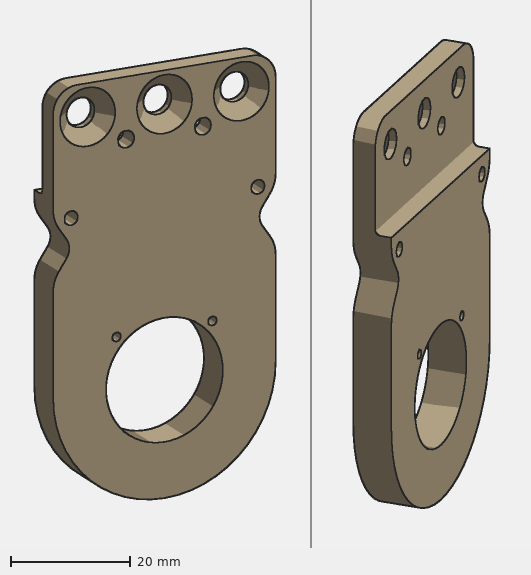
import cadquery as cq
import math

height = 75.9
width = 42.0
thickness = 7.0
half_width = width / 2

flange_thickness = 4.0
flange_height = 20.0
flange_corner_radius = 4.5
step_fillet = 1.0
step_depth = thickness - flange_thickness
step_z = height - flange_height

bore_diameter = 22.0
bore_z = half_width

notch_z = 47.1
notch_half_height = 7.2
notch_depth = 3.0
notch_root_radius = 3.0
notch_shoulder_radius = 6.0

large_hole_diameter = 5.2
large_hole_spacing = 14.5
large_hole_z = height - 6.0
large_hole_positions = (-large_hole_spacing, 0, large_hole_spacing)
countersink_diameter = 10.4
countersink_angle = 90
small_hole_diameter = 3.0
small_hole_spacing = large_hole_spacing
small_hole_z = height - 11.1

side_hole_diameter = 2.5
side_hole_spacing = 35.2
side_hole_z = height - 23.45
pin_hole_diameter = 1.6
pin_hole_offset = 9.0
pin_hole_z = bore_z + pin_hole_offset


def plate_blank():
    """Full-thickness plate with a semicircular bottom and rounded top corners."""
    blank = (
        cq.Workplane("YZ")
        .moveTo(-half_width, bore_z)
        .threePointArc((0, 0), (half_width, bore_z))
        .lineTo(half_width, height)
        .lineTo(-half_width, height)
        .close()
        .extrude(thickness)
    )
    return blank.edges("|X and >Z").fillet(flange_corner_radius)


def notch_cutter():
    """Notch on the +Y side, bounded by tangent arcs and lines."""
    shoulder_y = half_width - notch_shoulder_radius
    root_y = half_width - notch_depth + notch_root_radius

    centre_distance = math.hypot(root_y - shoulder_y, notch_half_height)
    centre_angle = math.atan2(notch_half_height, root_y - shoulder_y)
    radius_sum = notch_shoulder_radius + notch_root_radius
    turn = centre_angle - math.acos(radius_sum / centre_distance)

    def shoulder_point(angle, side):
        y = shoulder_y + notch_shoulder_radius * math.cos(angle)
        z = notch_half_height - notch_shoulder_radius * math.sin(angle)
        return (y, notch_z + side * z)

    def root_point(side):
        y = root_y - notch_root_radius * math.cos(turn)
        return (y, notch_z + side * notch_root_radius * math.sin(turn))

    return (
        cq.Workplane("YZ")
        .moveTo(*shoulder_point(0, 1))
        .threePointArc(shoulder_point(turn / 2, 1), shoulder_point(turn, 1))
        .lineTo(*root_point(1))
        .threePointArc((half_width - notch_depth, notch_z), root_point(-1))
        .lineTo(*shoulder_point(turn, -1))
        .threePointArc(shoulder_point(turn / 2, -1), shoulder_point(0, -1))
        .close()
        .extrude(thickness)
    )


def step_cutter():
    """Block removed from the -X face above the step, with its inner corner rounded."""
    block = cq.Workplane("XY").box(step_depth, width, flange_height, centered=(False, True, False))
    return block.edges(">X and <Z").fillet(step_fillet).translate((0, 0, step_z))


def hole_row(diameter, z, y_positions):
    """Through holes along X at one height."""
    centres = [(y, z) for y in y_positions]
    return cq.Workplane("YZ").pushPoints(centres).circle(diameter / 2).extrude(thickness)


def mirrored(offset):
    return (-offset, offset)


notch = notch_cutter()
result = plate_blank().cut(notch).cut(notch.mirror("XZ")).cut(step_cutter())

hole_rows = [
    (bore_diameter, bore_z, (0,)),
    (large_hole_diameter, large_hole_z, large_hole_positions),
    (small_hole_diameter, small_hole_z, mirrored(small_hole_spacing / 2)),
    (side_hole_diameter, side_hole_z, mirrored(side_hole_spacing / 2)),
    (pin_hole_diameter, pin_hole_z, mirrored(pin_hole_offset)),
]
for diameter, z, y_positions in hole_rows:
    result = result.cut(hole_row(diameter, z, y_positions))

countersink_centres = [(y, large_hole_z) for y in large_hole_positions]
countersink_widening = (countersink_diameter - large_hole_diameter) / 2
countersink_depth = countersink_widening / math.tan(math.radians(countersink_angle / 2))
countersinks = (
    cq.Workplane("YZ", origin=(thickness, 0, 0))
    .pushPoints(countersink_centres)
    .circle(countersink_diameter / 2)
    .extrude(-countersink_depth, taper=countersink_angle / 2)
)
result = result.cut(countersinks)